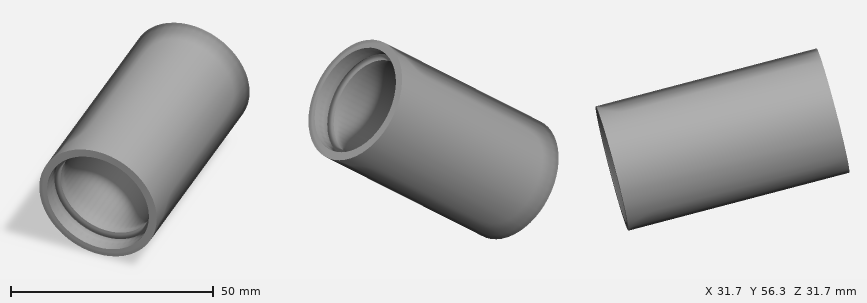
import cadquery as cq

length = 56.3
outer_diameter = 31.7
bore_diameter = 25.0
counterbore_diameter = 27.5
shoulder_depth = 5.5
groove_width = 1.0
groove_depth = 0.75
groove_diameter = counterbore_diameter + 2 * groove_depth


def cylinder_along_y(diameter, start_y, depth):
    """Solid cylinder centred on the Y axis, running from start_y toward +Y."""
    plane = cq.Plane(origin=(0, start_y, 0), xDir=(1, 0, 0), normal=(0, 1, 0))
    return cq.Workplane(plane).circle(diameter / 2).extrude(depth)


def front_end_recess():
    """Counterbore and relief groove to remove at the -Y end."""
    front_y = -length / 2
    groove_y = front_y + shoulder_depth - groove_width
    counterbore = cylinder_along_y(counterbore_diameter, front_y, shoulder_depth)
    groove = cylinder_along_y(groove_diameter, groove_y, groove_width)
    return counterbore.union(groove)


body = cylinder_along_y(outer_diameter, -length / 2, length)
bore = cylinder_along_y(bore_diameter, -length / 2, length)
recess = front_end_recess()
opposite_recess = recess.mirror("XZ")

result = body.cut(bore).cut(recess).cut(opposite_recess)